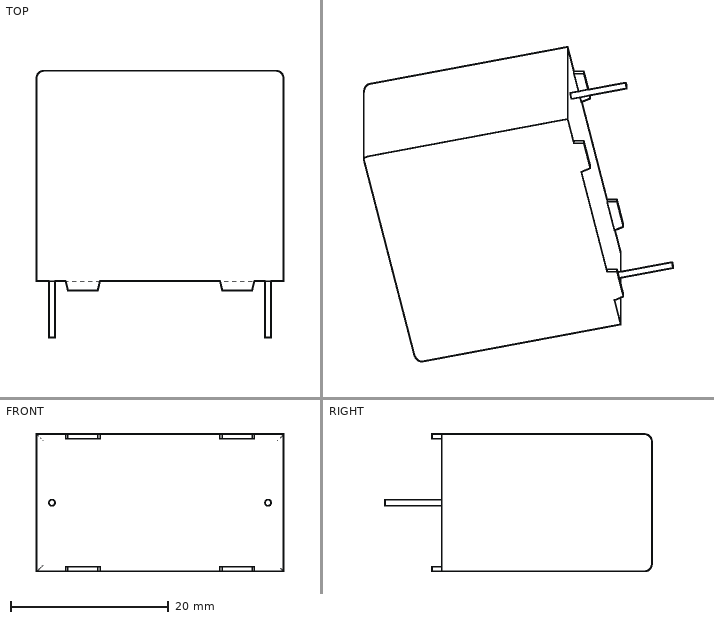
import cadquery as cq

overall_length = 34.0
case_width = 31.5
case_height = 17.5

case_depth = 26.8
back_edge_radius = 1.0
back_face_y = overall_length / 2
base_face_y = back_face_y - case_depth

foot_spacing = 19.65
foot_root_width = 4.4
foot_tip_width = 3.8
foot_length = 1.22
foot_thickness = 0.6

lead_diameter = 0.78
lead_spacing = 27.5
lead_length = overall_length - case_depth


def make_foot(center_x, bottom_z):
    """Trapezoidal tab that narrows away from the base face."""
    tip_y = base_face_y - foot_length
    return (
        cq.Workplane("XY", origin=(center_x, 0, bottom_z))
        .moveTo(-foot_root_width / 2, base_face_y)
        .lineTo(-foot_tip_width / 2, tip_y)
        .lineTo(foot_tip_width / 2, tip_y)
        .lineTo(foot_root_width / 2, base_face_y)
        .close()
        .extrude(foot_thickness)
    )


def make_case():
    """Solid block with a rounded back rim and four standoff feet."""
    case = (
        cq.Workplane("XZ", origin=(0, back_face_y, 0))
        .rect(case_width, case_height)
        .extrude(case_depth)
        .faces(">Y")
        .edges()
        .fillet(back_edge_radius)
    )
    for center_x in (-foot_spacing / 2, foot_spacing / 2):
        for bottom_z in (-case_height / 2, case_height / 2 - foot_thickness):
            case = case.union(make_foot(center_x, bottom_z))
    return case


def make_lead(center_x):
    """Round wire lead standing on the base face."""
    return (
        cq.Workplane("XZ", origin=(center_x, base_face_y, 0))
        .circle(lead_diameter / 2)
        .extrude(lead_length)
    )


case = make_case()
leads = [make_lead(center_x) for center_x in (-lead_spacing / 2, lead_spacing / 2)]

result = cq.Compound.makeCompound([case.val(), *[lead.val() for lead in leads]])